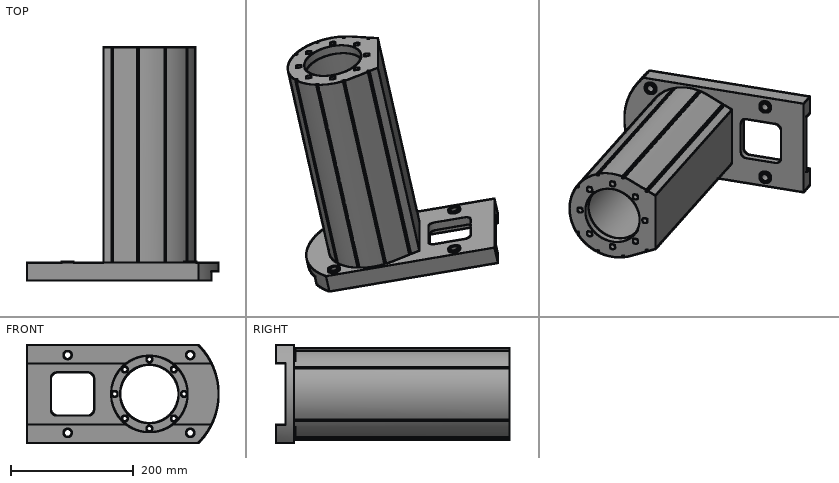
import cadquery as cq
import math

total_length = 381.0

plate_height = 160.0
plate_thickness = 29.7
plate_left = -200.0
plate_end_radius = 113.0
channel_height = 100.0
channel_depth = 15.2

window_size = 70.0
window_center_x = -125.5
window_corner_radius = 10.0

mount_hole_diameter = 13.0
mount_right_x = 66.5
mount_spacing_x = 200.0
mount_spacing_z = 127.0
pad_diameter = 20.0
pad_height = 2.0

tube_radius = 75.0
flat_half_height = 48.5
bore_diameter = 125.0
end_wall_thickness = 15.2
end_opening_diameter = 95.0
bolt_count = 8
bolt_circle_diameter = 113.0
bolt_hole_diameter = 9.0

groove_width = 2.5
groove_depth = 2.5
groove_pitch_angle = 34.8
round_grooves_per_side = 3
flank_groove_x = -60.2


def extrude_back(sketch, start, end):
    """Extrude an XZ sketch in the +Y direction from Y = start to Y = end."""
    return sketch.extrude(-(end - start)).translate((0, start, 0))


def sketch_plane():
    """Start an outline looking along +Y, with X to the right and Z up."""
    return cq.Workplane("XZ")


def cylinders(points, diameter, start, end):
    """Cylinders along Y, from Y = start to Y = end, at the given (X, Z) points."""
    return extrude_back(sketch_plane().pushPoints(points).circle(diameter / 2), start, end)


def make_plate():
    half_height = plate_height / 2
    arc_start_x = math.sqrt(plate_end_radius**2 - half_height**2)
    outline = (
        sketch_plane()
        .moveTo(plate_left, -half_height)
        .lineTo(arc_start_x, -half_height)
        .threePointArc((plate_end_radius, 0), (arc_start_x, half_height))
        .lineTo(plate_left, half_height)
        .close()
    )
    plate = extrude_back(outline, 0, plate_thickness)

    channel_length = plate_end_radius - plate_left
    channel_center_x = (plate_end_radius + plate_left) / 2
    channel = sketch_plane().center(channel_center_x, 0).rect(channel_length, channel_height)
    plate = plate.cut(extrude_back(channel, 0, channel_depth))

    window = sketch_plane().center(window_center_x, 0).rect(window_size, window_size)
    window = extrude_back(window, 0, plate_thickness).edges("|Y").fillet(window_corner_radius)
    return plate.cut(window)


def make_tube():
    corner_distance = math.hypot(tube_radius, flat_half_height)
    corner_angle = math.pi - math.atan2(flat_half_height, tube_radius)
    tangent_angle = corner_angle - math.acos(tube_radius / corner_distance)
    tangent_x = tube_radius * math.cos(tangent_angle)
    tangent_z = tube_radius * math.sin(tangent_angle)
    flank_slope = (tangent_z - flat_half_height) / (tangent_x + tube_radius)

    outline = (
        sketch_plane()
        .moveTo(-tube_radius, -flat_half_height)
        .lineTo(tangent_x, -tangent_z)
        .threePointArc((tube_radius, 0), (tangent_x, tangent_z))
        .lineTo(-tube_radius, flat_half_height)
        .close()
    )
    tube = extrude_back(outline, plate_thickness, total_length)

    def groove_cutter(x, z, normal_angle):
        """Box centered on the surface, so its inner half cuts to the groove depth."""
        groove = (
            sketch_plane()
            .center(x, z)
            .transformed(rotate=(0, 0, math.degrees(normal_angle)))
            .rect(2 * groove_depth, groove_width)
        )
        return extrude_back(groove, plate_thickness, total_length)

    grooves = []
    for index in range(1, round_grooves_per_side + 1):
        angle = math.radians(index * groove_pitch_angle)
        grooves.append((tube_radius * math.cos(angle), tube_radius * math.sin(angle), angle))
    flank_groove_z = flat_half_height + flank_slope * (flank_groove_x + tube_radius)
    grooves.append((flank_groove_x, flank_groove_z, tangent_angle))

    for x, z, angle in grooves:
        tube = tube.cut(groove_cutter(x, z, angle))
        tube = tube.cut(groove_cutter(x, -z, -angle))
    return tube


def mount_points():
    left_x = mount_right_x - mount_spacing_x
    half_z = mount_spacing_z / 2
    return [(x, z) for x in (left_x, mount_right_x) for z in (-half_z, half_z)]


def bolt_points():
    angles = [2 * math.pi * i / bolt_count for i in range(bolt_count)]
    radius = bolt_circle_diameter / 2
    return [(radius * math.cos(a), radius * math.sin(a)) for a in angles]


pad_back = plate_thickness + pad_height
axis_point = [(0, 0)]

body = make_plate().union(make_tube())
body = body.union(cylinders(mount_points(), pad_diameter, plate_thickness, pad_back))
body = body.cut(cylinders(axis_point, bore_diameter, 0, total_length - end_wall_thickness))
body = body.cut(cylinders(axis_point, end_opening_diameter, 0, total_length))
body = body.cut(cylinders(bolt_points(), bolt_hole_diameter, 0, total_length))
result = body.cut(cylinders(mount_points(), mount_hole_diameter, 0, pad_back))